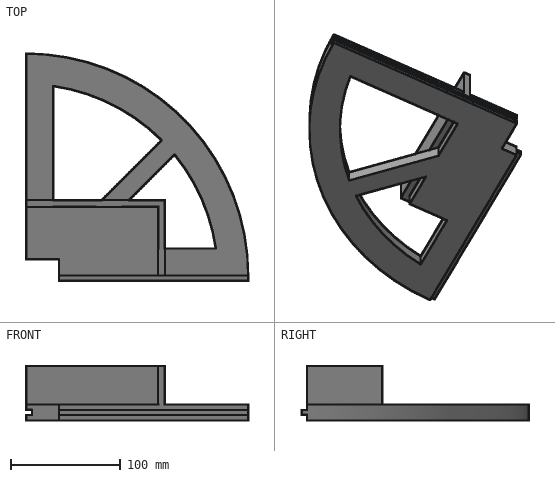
import cadquery as cq
import math

outer_radius = 203.1
rim_width = 28.0
inner_radius = outer_radius - rim_width
panel_thickness = 15.0
overall_height = 50.0

spoke_width = 25.0

floor_length = 120.5
floor_depth = 63.0
wall_thickness = 6.2
wall_height = overall_height - panel_thickness
wall_seat = 0.2

notch_length = 2 * panel_thickness
notch_depth = panel_thickness

joint_height = 4.5
tongue_length = 4.8
groove_depth = 5.2
joint_bottom = (panel_thickness - joint_height) / 2


def corner_block(x, y, z, length, depth, height):
    """Box placed by its lowest-coordinate corner."""
    return cq.Workplane("XY").box(length, depth, height, centered=False).translate((x, y, z))


def quarter_disc(radius):
    """Quarter disc, one panel thickness high, in the +X +Y quadrant."""
    diagonal = radius * math.sqrt(0.5)
    return (
        cq.Workplane("XY")
        .lineTo(radius, 0)
        .threePointArc((diagonal, diagonal), (0, radius))
        .close()
        .extrude(panel_thickness)
    )


def diagonal_spoke():
    """45-degree spoke whose upper edge runs through the arc centre."""
    reach = outer_radius
    return (
        cq.Workplane("XY")
        .polyline([(0, 0), (spoke_width, 0), (spoke_width + reach, reach), (reach, reach)])
        .close()
        .extrude(panel_thickness)
    )


def panel():
    """Rim, spokes and floor, all trimmed to the quarter disc."""
    sector = quarter_disc(outer_radius)
    rim = sector.cut(quarter_disc(inner_radius))
    spokes = (
        corner_block(0, 0, 0, spoke_width, outer_radius, panel_thickness)
        .union(corner_block(0, 0, 0, outer_radius, spoke_width, panel_thickness))
        .union(diagonal_spoke())
    )
    floor = corner_block(0, 0, 0, floor_length + wall_seat, floor_depth + wall_seat, panel_thickness)
    notch = corner_block(0, 0, 0, notch_length, notch_depth, panel_thickness)
    return rim.union(spokes.intersect(sector)).union(floor).cut(notch)


def wall():
    """L-shaped wall on top of the panel, along the floor's +X and +Y sides."""
    outside = corner_block(
        0, 0, panel_thickness,
        floor_length + wall_thickness, floor_depth + wall_thickness, wall_height,
    )
    inside = corner_block(0, 0, panel_thickness, floor_length, floor_depth, wall_height)
    return outside.cut(inside)


tongue = corner_block(
    notch_length, -tongue_length, joint_bottom,
    outer_radius - notch_length, tongue_length, joint_height,
)
groove = corner_block(0, 0, joint_bottom, groove_depth, outer_radius, joint_height)

result = panel().cut(groove).union(wall()).union(tongue)